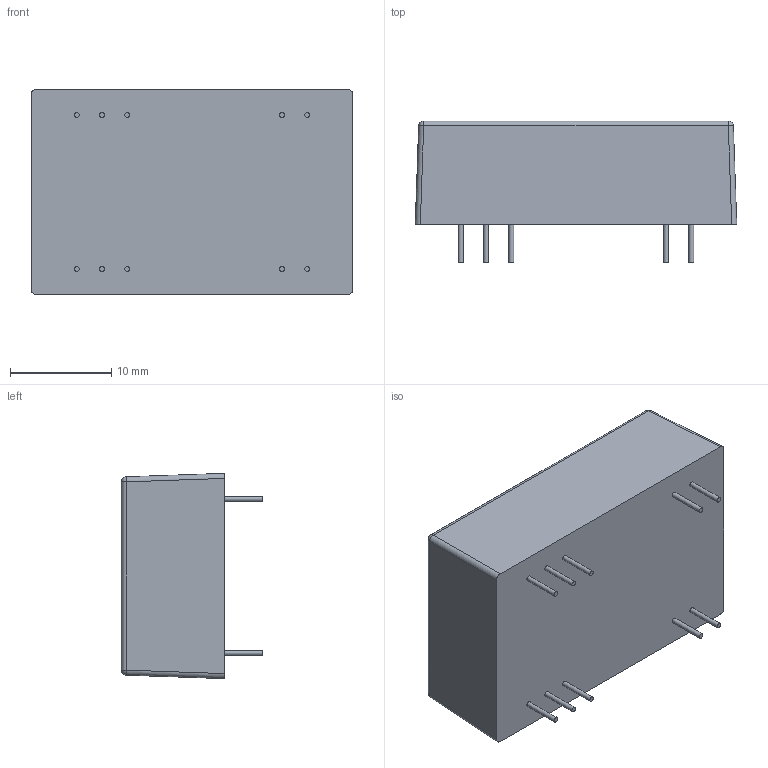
import cadquery as cq

CASE_WIDTH = 31.8
CASE_HEIGHT = 20.3
CASE_DEPTH = 10.2
DRAFT_ANGLE = 2.0
EDGE_RADIUS = 0.5

PIN_SPACING = 2.5
COLUMN_OFFSET = 8.9
ROW_OFFSET = 7.62
PIN_COLUMNS = (
    -COLUMN_OFFSET - PIN_SPACING,
    -COLUMN_OFFSET,
    -COLUMN_OFFSET + PIN_SPACING,
    COLUMN_OFFSET,
    COLUMN_OFFSET + PIN_SPACING,
)
PIN_ROWS = (-ROW_OFFSET, ROW_OFFSET)
PIN_DIAMETER = 0.5
PIN_LENGTH = 3.8


def make_case():
    """Drafted block with rounded side edges and a rounded back rim."""
    block = (
        cq.Workplane("XZ")
        .rect(CASE_WIDTH, CASE_HEIGHT)
        .extrude(-CASE_DEPTH, taper=DRAFT_ANGLE)
    )
    side_edges_and_back_rim = block.edges("not <Y")
    return side_edges_and_back_rim.fillet(EDGE_RADIUS)


def make_pins():
    """Round pins standing out of the base toward -Y."""
    centres = [(column, row) for row in PIN_ROWS for column in PIN_COLUMNS]
    return (
        cq.Workplane("XZ")
        .pushPoints(centres)
        .circle(PIN_DIAMETER / 2)
        .extrude(PIN_LENGTH)
    )


result = make_case().union(make_pins())